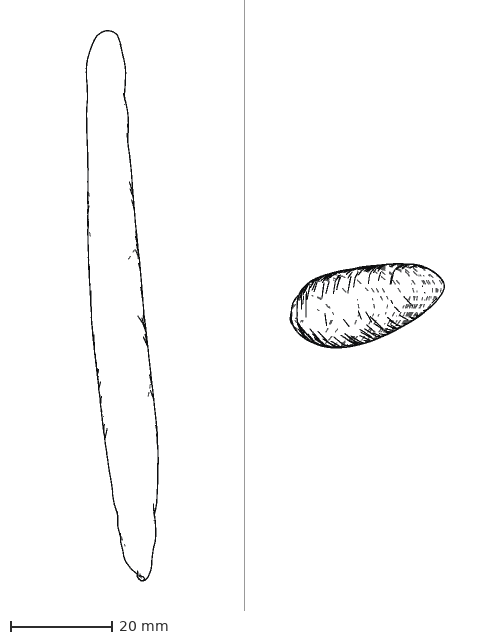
import cadquery as cq

REAR_END = [
    (57.1, -26.9, -25.1, 20.1, 22.1),
    (56.4, -28.1, -23.7, 19.0, 23.3),
    (54.8, -28.3, -22.7, 17.9, 23.9),
    (51.7, -28.1, -20.9, 16.2, 23.7),
    (45.9, -26.4, -18.3, 13.0, 22.4),
]
SHAFT = [
    (40.2, -24.0, -15.3, 10.0, 20.8),
    (33.0, -21.0, -12.1, 6.7, 18.5),
    (25.8, -17.9, -8.5, 3.4, 16.2),
    (18.5, -15.0, -4.9, 0.2, 13.7),
    (11.3, -12.0, -1.3, -3.0, 11.2),
    (4.1, -8.8, 2.4, -6.0, 8.7),
    (-3.1, -5.5, 5.9, -9.1, 6.0),
    (-10.3, -1.9, 9.7, -12.1, 3.3),
    (-17.5, 1.8, 13.5, -15.0, 0.6),
    (-24.7, 5.6, 17.2, -17.6, -2.4),
    (-31.8, 9.5, 20.5, -19.9, -5.5),
    (-37.7, 12.8, 22.7, -21.5, -8.3),
]
SHOULDER = [
    (-40.9, 14.5, 23.6, -22.3, -10.0),
    (-42.7, 15.6, 24.1, -22.7, -11.1),
    (-44.5, 17.0, 25.0, -23.0, -12.2),
    (-46.2, 17.8, 25.9, -23.3, -13.4),
]
FRONT_TIP = [
    (-48.0, 18.6, 26.5, -23.5, -14.4),
    (-50.6, 20.1, 27.0, -23.6, -16.2),
    (-53.0, 21.7, 27.7, -23.7, -18.1),
]
NUB = [
    (-54.5, 23.6, 28.2, -23.7, -19.7),
    (-55.6, 25.8, 28.2, -23.7, -20.5),
    (-56.4, 26.1, 28.2, -23.5, -21.1),
    (-57.1, 26.6, 27.8, -23.0, -22.0),
]

FLAT_UPPER_LEFT = 0.66
FLAT_LOWER_LEFT = 0.62
ROUND_LOWER_RIGHT = 0.7
FULL_UPPER_RIGHT = 0.78
SIDE_SHIFT = 0.2
TOP_SHIFT = 0.2
BOTTOM_SHIFT = 0.1
SHOULDER_UPPER_LEFT = 0.64
TIP_UPPER_LEFT = 0.72


def outline(upper_left):
    """Points around the section, starting at the right side."""
    return [
        (1, -SIDE_SHIFT),
        (ROUND_LOWER_RIGHT, -ROUND_LOWER_RIGHT),
        (-BOTTOM_SHIFT, -1),
        (-FLAT_LOWER_LEFT, -FLAT_LOWER_LEFT),
        (-1, SIDE_SHIFT),
        (-upper_left, upper_left),
        (TOP_SHIFT, 1),
        (FULL_UPPER_RIGHT, FULL_UPPER_RIGHT),
    ]


def cross_section(station, upper_left):
    """Closed smooth outline in the station's XZ plane, filling its box."""
    y, left, right, bottom, top = station
    half_width = (right - left) / 2
    half_height = (top - bottom) / 2
    centre = ((left + right) / 2, y, (bottom + top) / 2)
    plane = cq.Plane(origin=centre, xDir=(1, 0, 0), normal=(0, -1, 0))
    points = [(u * half_width, v * half_height) for u, v in outline(upper_left)]
    return cq.Workplane(plane).spline(points, periodic=True).wire().val()


sections = [cross_section(station, FLAT_UPPER_LEFT) for station in REAR_END + SHAFT]
sections += [cross_section(station, SHOULDER_UPPER_LEFT) for station in SHOULDER]
sections += [cross_section(station, TIP_UPPER_LEFT) for station in FRONT_TIP + NUB]

result = cq.Workplane("XY").newObject([cq.Solid.makeLoft(sections)])